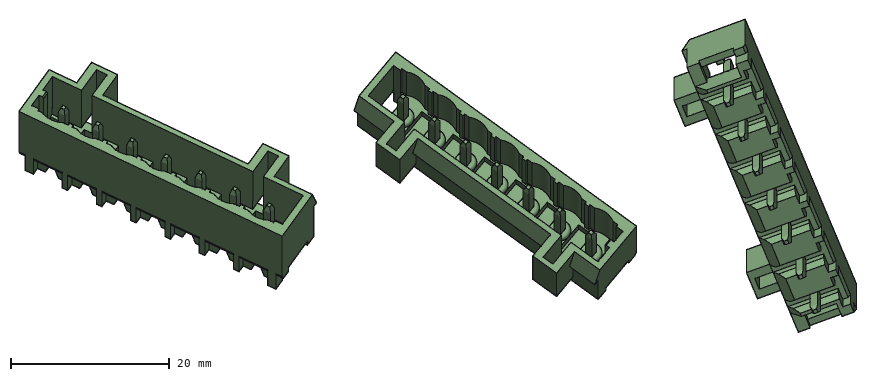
import cadquery as cq


PIN_COUNT = 7
ROW_SPAN = 30.0
PIN_PITCH = ROW_SPAN / (PIN_COUNT - 1)
PIN_SIZE = 1.0
PIN_TIP_SIZE = 0.5
PIN_Y = 3.9
PIN_TOP_Z = 11.15
PIN_BOTTOM_Z = -3.88
UPPER_TAPER = 0.9
LOWER_TAPER = 0.85
PIN_XS = [-ROW_SPAN / 2 + i * PIN_PITCH for i in range(PIN_COUNT)]
GAP_XS = [x + PIN_PITCH / 2 for x in PIN_XS[:-1]]

LENGTH = 38.4
HEIGHT = 12.0
BACK_Y = 7.87
UNDERSIDE_Z = 2.6
FRONT_BEVEL_DEPTH = 0.3
FRONT_BEVEL_HEIGHT = 0.73
LATCH_TOP_Y = 7.53
LATCH_TIP_Y = 8.55
LATCH_DROP = 3.0

FLOOR_Z = 4.05
END_WALL = 0.92
FRONT_WALL = 1.6
CAVITY_BACK_TOP_Y = 6.8
CAVITY_BACK_FLOOR_Y = 6.72
CAVITY_LENGTH = LENGTH - 2 * END_WALL
RECESS_LENGTH = 4.38
RECESS_DEPTH = 0.3
RECESS_RADIUS = 3.0
BOSS_DIAMETER = 2.8
BOSS_ROUND = 0.4
POCKET_LENGTH = PIN_PITCH - BOSS_DIAMETER
POCKET_FRONT_Y = 1.85
POCKET_BOTTOM_Z = UNDERSIDE_Z
KEY_WIDTH = 0.95
KEY_LENGTH = 0.7
KEY_BEVEL = 0.2

TAB_BACK_Y = 11.2
TAB_WIDTH = 3.8
TAB_BACK_WALL = 0.7
TAB_SLOT_WIDTH = 1.55
TAB_OFFSET = 1.73
TAB_XS = [PIN_XS[0] + TAB_OFFSET, PIN_XS[-2] + TAB_OFFSET]

BASE_BACK_Y = 6.35
BASE_LENGTH = ROW_SPAN + BOSS_DIAMETER
FRONT_SLOT_LENGTH = 4.2
FRONT_SLOT_DEPTH = 1.05
FLARE_WIDTH = 1.92
FLARE_HEIGHT = 1.3
END_WINDOW_BACK_Y = 6.25
END_NOTCH_Z = 3.45


def block(x_center, x_size, y_min, y_max, z_min, z_max):
    """Box centered on x_center and spanning the given y and z ranges."""
    box = cq.Workplane("XY").box(x_size, y_max - y_min, z_max - z_min, centered=(True, False, False))
    return box.translate((x_center, y_min, z_min))


def extrude_along_x(profile, length, x_center=0):
    """Solid from (y, z) profile points, centered on x_center."""
    sketch = cq.Workplane("YZ", origin=(x_center, 0, 0)).polyline(profile).close()
    return sketch.extrude(length / 2, both=True)


def shell_body():
    """Main block with the beveled lower front edge and the latch barb along the back."""
    profile = [
        (FRONT_BEVEL_DEPTH, UNDERSIDE_Z),
        (0, UNDERSIDE_Z + FRONT_BEVEL_HEIGHT),
        (0, HEIGHT),
        (LATCH_TOP_Y, HEIGHT),
        (LATCH_TIP_Y, HEIGHT - LATCH_DROP),
        (BACK_Y, HEIGHT - LATCH_DROP),
        (BACK_Y, UNDERSIDE_Z),
    ]
    return extrude_along_x(profile, LENGTH)


def mating_cavity():
    """Open-topped cavity with a tapered back wall and recesses for round contacts."""
    profile = [
        (FRONT_WALL, FLOOR_Z),
        (FRONT_WALL, HEIGHT),
        (CAVITY_BACK_TOP_Y, HEIGHT),
        (CAVITY_BACK_FLOOR_Y, FLOOR_Z),
    ]
    cavity = extrude_along_x(profile, CAVITY_LENGTH)
    recess_y = FRONT_WALL - RECESS_DEPTH
    depth = HEIGHT - FLOOR_Z
    for x in PIN_XS:
        recess = block(x, RECESS_LENGTH, recess_y, PIN_Y, FLOOR_Z, HEIGHT)
        cylinder = cq.Workplane("XY", origin=(x, PIN_Y, FLOOR_Z)).circle(RECESS_RADIUS).extrude(depth)
        front_half = block(x, RECESS_LENGTH, 0, PIN_Y, FLOOR_Z, HEIGHT)
        cavity = cavity.union(recess).union(cylinder.intersect(front_half))
    return cavity


def boss(x):
    """Round-edged collar around a pin on the cavity floor."""
    disc = cq.Workplane("XY", origin=(x, PIN_Y, FLOOR_Z - BOSS_ROUND)).circle(BOSS_DIAMETER / 2)
    return disc.extrude(2 * BOSS_ROUND).faces(">Z").edges().fillet(BOSS_ROUND)


def coding_key():
    """Key on the left end wall, flush with the top, its upper end edge beveled."""
    wall_x = -CAVITY_LENGTH / 2
    end_x = wall_x + KEY_LENGTH
    profile = [
        (-LENGTH / 2, FLOOR_Z),
        (end_x, FLOOR_Z),
        (end_x, HEIGHT - KEY_BEVEL),
        (end_x - KEY_BEVEL, HEIGHT),
        (-LENGTH / 2, HEIGHT),
    ]
    key = cq.Workplane("XZ", origin=(0, PIN_Y, 0)).polyline(profile).close()
    return key.extrude(KEY_WIDTH / 2, both=True)


def soldering_base():
    """Base under the floor with a sloped back edge, and a longer front strip that becomes the feet."""
    profile = [
        (0, 0),
        (0, FLOOR_Z),
        (BACK_Y, FLOOR_Z),
        (BACK_Y, UNDERSIDE_Z),
        (BASE_BACK_Y, 0),
    ]
    base = extrude_along_x(profile, BASE_LENGTH)
    return base.union(block(0, CAVITY_LENGTH, 0, FRONT_WALL, 0, FLOOR_Z))


def front_slot(x):
    """Gap between feet, its top continuing the beveled lower edge of the front wall."""
    profile = [
        (0, 0),
        (0, UNDERSIDE_Z + FRONT_BEVEL_HEIGHT),
        (FRONT_BEVEL_DEPTH, UNDERSIDE_Z),
        (FRONT_SLOT_DEPTH, UNDERSIDE_Z),
        (FRONT_SLOT_DEPTH, 0),
    ]
    return extrude_along_x(profile, FRONT_SLOT_LENGTH, x)


def pin_channel(x):
    """Channel through the base in y: pin-wide above, flared toward the bottom."""
    channel = (
        cq.Workplane("XZ", origin=(x, BACK_Y, 0))
        .moveTo(-FLARE_WIDTH / 2, 0)
        .lineTo(-PIN_SIZE / 2, FLARE_HEIGHT)
        .lineTo(-PIN_SIZE / 2, UNDERSIDE_Z)
        .lineTo(PIN_SIZE / 2, UNDERSIDE_Z)
        .lineTo(PIN_SIZE / 2, FLARE_HEIGHT)
        .lineTo(FLARE_WIDTH / 2, 0)
        .close()
    )
    return channel.extrude(BACK_Y - FRONT_SLOT_DEPTH)


def end_openings():
    """Windows through the floor beyond both end pins, with notches in the end walls."""
    window_length = (CAVITY_LENGTH - BASE_LENGTH) / 2
    openings = block(0, LENGTH, FRONT_WALL, END_WINDOW_BACK_Y, 0, END_NOTCH_Z)
    openings = openings.cut(block(0, BASE_LENGTH, 0, BACK_Y, 0, FLOOR_Z))
    for side in (-1, 1):
        x = side * (BASE_LENGTH + window_length) / 2
        openings = openings.union(block(x, window_length, FRONT_WALL, END_WINDOW_BACK_Y, 0, FLOOR_Z))
    return openings


def make_housing():
    slot_back_y = TAB_BACK_Y - TAB_BACK_WALL
    half_pin = PIN_SIZE / 2
    housing = shell_body().union(soldering_base())
    for x in TAB_XS:
        housing = housing.union(block(x, TAB_WIDTH, CAVITY_BACK_TOP_Y, TAB_BACK_Y, FLOOR_Z, HEIGHT))
        housing = housing.cut(block(x, TAB_SLOT_WIDTH, PIN_Y, slot_back_y, FLOOR_Z, HEIGHT))
    housing = housing.cut(mating_cavity()).cut(end_openings()).union(coding_key())
    for x in GAP_XS:
        pocket = block(x, POCKET_LENGTH, POCKET_FRONT_Y, CAVITY_BACK_FLOOR_Y, POCKET_BOTTOM_Z, FLOOR_Z)
        housing = housing.cut(pocket)
    for x in PIN_XS:
        pin_hole = block(x, PIN_SIZE, PIN_Y - half_pin, PIN_Y + half_pin, 0, HEIGHT)
        housing = housing.union(boss(x)).cut(front_slot(x)).cut(pin_channel(x)).cut(pin_hole)
    return housing.solids()


def make_pin(x):
    """Square pin tapered at both ends."""
    shank_bottom_z = PIN_BOTTOM_Z + LOWER_TAPER
    shank_top_z = PIN_TOP_Z - UPPER_TAPER
    half = PIN_SIZE / 2
    pin = block(x, PIN_SIZE, PIN_Y - half, PIN_Y + half, shank_bottom_z, shank_top_z)
    for shoulder_z, tip_z in ((shank_bottom_z, PIN_BOTTOM_Z), (shank_top_z, PIN_TOP_Z)):
        tip = cq.Workplane("XY", origin=(x, PIN_Y, shoulder_z)).rect(PIN_SIZE, PIN_SIZE)
        tip = tip.workplane(offset=tip_z - shoulder_z).rect(PIN_TIP_SIZE, PIN_TIP_SIZE).loft()
        pin = pin.union(tip)
    return pin.solids()


housing = make_housing()
pins = [make_pin(x) for x in PIN_XS]

result = cq.Compound.makeCompound([housing.val(), *[pin.val() for pin in pins]])